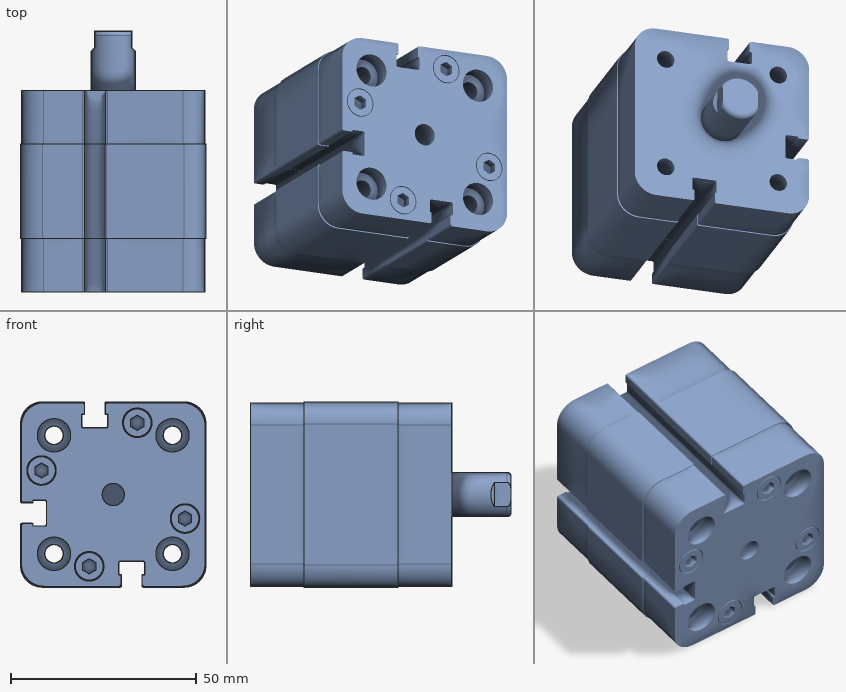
import cadquery as cq
import math


total_length = 70.5
rod_length = 16.0
cap_length = 14.5
body_length = total_length - rod_length
barrel_length = body_length - 2 * cap_length
barrel_width = 50.1
cap_width = 49.55
corner_radius = 6.0

slot_offset = 5.0
mouth_width = 5.5
cap_mouth_extra_near_center = 0.2
cap_mouth_extra_far_side = 0.1
channel_width = 6.9
lip_height = 21.65
floor_height = 18.05
barrel_channel_step = 0.1
lip_radius = 0.5
inner_lip_radius = 0.3
floor_radius = 0.5
slot_angles = (0, -90, -180)

mount_spacing = 32.0
mount_diameter = 4.9
mount_bore_diameter = 9.0
mount_bore_depth = 5.4

screw_x = 6.5
screw_z = 19.4
screw_bore_diameter = 8.0
screw_head_diameter = 7.5
screw_gap_depth = 0.7
hex_flats = 3.5
hex_depth = 2.95

port_diameter = 6.0
port_depth = 10.0

rod_diameter = 12.0
rod_tip_radius = 1.2
flat_width = 10.0
flat_length = 4.5


def front_plane(y=0.0):
    """Workplane across the axis: local x is X, local y is Z, a negative extrusion runs to +Y."""
    return cq.Workplane("XZ", origin=(0, y, 0))


def turn(shape, angle):
    """Rotate a shape about the cylinder axis."""
    return shape.rotate((0, 0, 0), (0, 1, 0), angle)


def slot_cutter(y_start, length, top, far_extra, near_extra, channel_step):
    """Slot in the +Z face.

    far_extra and near_extra widen the mouth away from and towards the center plane;
    channel_step sets the channel's side walls and floor further back.
    """
    left = -slot_offset - mouth_width / 2 - far_extra
    right = -slot_offset + mouth_width / 2 + near_extra
    mouth = (
        front_plane(y_start)
        .moveTo(left - lip_radius, top)
        .radiusArc((left, top - lip_radius), lip_radius)
        .lineTo(left, lip_height + inner_lip_radius)
        .radiusArc((left - inner_lip_radius, lip_height), inner_lip_radius)
        .lineTo(right + inner_lip_radius, lip_height)
        .radiusArc((right, lip_height + inner_lip_radius), inner_lip_radius)
        .lineTo(right, top - lip_radius)
        .radiusArc((right + lip_radius, top), lip_radius)
        .close()
        .extrude(-length)
    )
    floor = floor_height - channel_step
    channel = (
        front_plane(y_start)
        .center(-slot_offset, (lip_height + floor) / 2)
        .rect(channel_width + 2 * channel_step, lip_height - floor)
        .extrude(-length)
        .faces("<Z")
        .edges("|Y")
        .fillet(floor_radius)
    )
    return mouth.union(channel)


def body_section(y_start, length, width, far_extra=0.0, near_extra=0.0, channel_step=0.0):
    """One rounded square length of the body with its three slots."""
    section = front_plane(y_start).rect(width, width).extrude(-length).edges("|Y").fillet(corner_radius)
    cutter = slot_cutter(y_start, length, width / 2, far_extra, near_extra, channel_step)
    for angle in slot_angles:
        section = section.cut(turn(cutter, angle))
    return section


def piston_rod():
    """Round rod with a rounded tip and two wrench flats that run out on 45 degree slopes."""
    rod = (
        front_plane(body_length)
        .circle(rod_diameter / 2)
        .extrude(-rod_length)
        .faces(">Y")
        .edges()
        .fillet(rod_tip_radius)
    )
    flat_x = flat_width / 2
    outer_x = rod_diameter
    flat_end = total_length - flat_length
    flat_cutter = (
        cq.Workplane("XY")
        .polyline([
            (flat_x, total_length),
            (flat_x, flat_end),
            (outer_x, flat_end - (outer_x - flat_x)),
            (outer_x, total_length),
        ])
        .close()
        .extrude(rod_diameter, both=True)
    )
    return rod.cut(flat_cutter).cut(flat_cutter.mirror("YZ"))


def mounting_holes():
    """Through holes with counterbores in the closed end face."""
    holes = front_plane().rect(mount_spacing, mount_spacing, forConstruction=True).vertices()
    through = holes.circle(mount_diameter / 2).extrude(-body_length)
    bores = holes.circle(mount_bore_diameter / 2).extrude(-mount_bore_depth)
    return through.union(bores)


def screw_cutter(x, z):
    """Ring gap around one flush screw head, and its hexagon socket with corners at top and bottom."""
    place = front_plane().center(x, z)
    gap = (
        place.circle(screw_bore_diameter / 2)
        .circle(screw_head_diameter / 2)
        .extrude(-screw_gap_depth)
    )
    hex_corners = hex_flats / math.cos(math.pi / 6)
    socket = place.transformed(rotate=(0, 0, 90)).polygon(6, hex_corners).extrude(-hex_depth)
    return gap.union(socket)


def end_cap(y_start):
    """One end cap, with slot mouths a little wider than those of the barrel."""
    return body_section(
        y_start,
        cap_length,
        cap_width,
        far_extra=cap_mouth_extra_far_side,
        near_extra=cap_mouth_extra_near_center,
    )


result = (
    end_cap(0)
    .union(body_section(cap_length, barrel_length, barrel_width, channel_step=barrel_channel_step))
    .union(end_cap(cap_length + barrel_length))
    .union(piston_rod())
    .cut(mounting_holes())
)

screw_places = (
    (screw_x, screw_z),
    (-screw_z, screw_x),
    (-screw_x, -screw_z),
    (screw_z, -screw_x),
)
for x, z in screw_places:
    result = result.cut(screw_cutter(x, z))

port = front_plane().circle(port_diameter / 2).extrude(-port_depth)
result = result.cut(port)